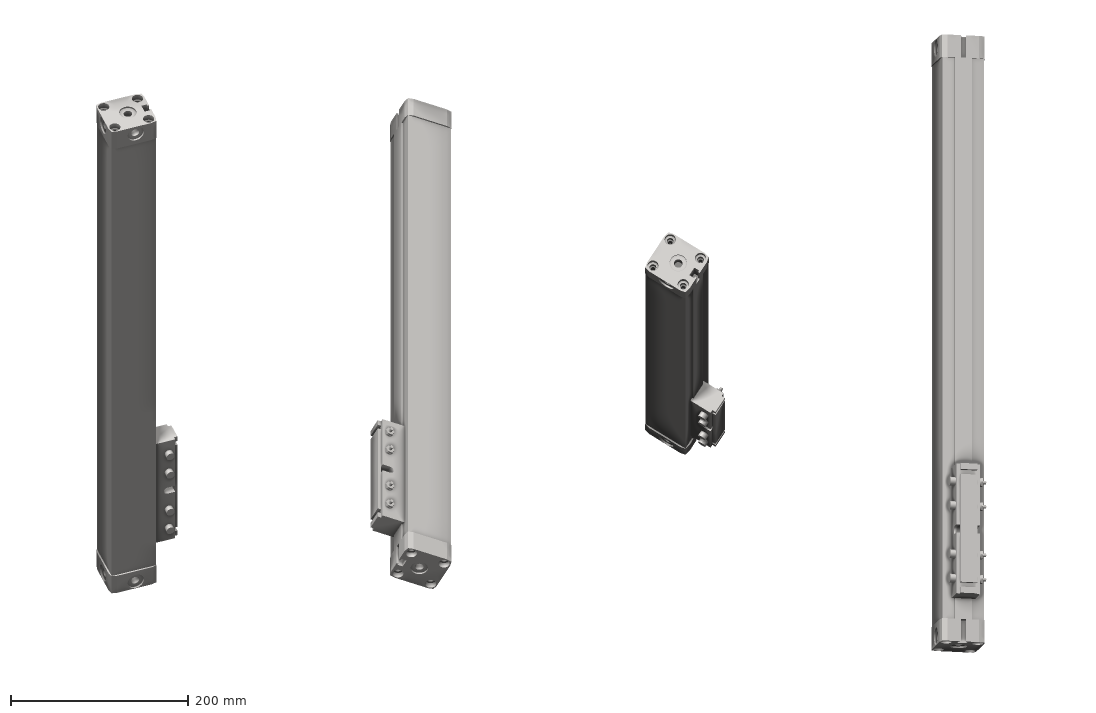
import cadquery as cq

TOTAL_LENGTH = 700.0
CAP_WIDTH = 52.0
CAP_DEPTH = 57.0
CAP_HEIGHT = 26.0
CORNER_LENGTH = 8.0
CORNER_INSET = 1.5
BARREL_INSET = 1.75
BARREL_WIDTH = CAP_WIDTH - 2 * BARREL_INSET
BARREL_FRONT = BARREL_INSET
BARREL_BACK = CAP_DEPTH - BARREL_INSET

RAIL_WIDTH = 19.5

PORT_SEAT_DIAMETER = 19.5
PORT_SEAT_DEPTH = 2.0
PORT_BORE_DIAMETER = 10.0
PORT_BORE_DEPTH = 14.0
PORT_HEIGHT = 10.5
BORE_AXIS_Y = 30.0

SCREW_INSET = 8.0
SCREW_PITCH_Y = 40.5
SCREW_HEAD_DIAMETER = 12.5
SCREW_HEAD_DEPTH = 7.0
SCREW_STEP_DIAMETER = 8.0
SCREW_STEP_DEPTH = 14.0
SCREW_HOLE_DIAMETER = 5.0

SLOT_WIDTH = 10.5
SLOT_MOUTH_WIDTH = 6.0
SLOT_DEPTH = 8.5
SLOT_LIP = 2.0

CARRIAGE_WIDTH = 27.0
CARRIAGE_LENGTH = 150.0
CARRIAGE_CENTRE_Z = 124.5
CARRIAGE_BACK = 86.0
STRIP_WIDTH = 19.5
STRIP_HEIGHT = 4.0
STRIP_GROOVE_WIDTH = 5.5
STRIP_GROOVE_OFFSET = 65.0
NOTCH_WIDTH = 9.0
NOTCH_AXIS_Y = 73.0

CLAMP_AXIS_Y = 74.0
CLAMP_PITCH = 28.0
CLAMP_STEPS = (-2, -1, 1, 2)
NUT_SIDES = 6
NUT_WIDTH_OVER_CORNERS = 10.5
WASHER_DIAMETER = 10.0
WASHER_THICKNESS = 2.0
NUT_THICKNESS = 2.0
HEAD_DIAMETER = 10.0
STUD_DIAMETER = 4.0
STUD_LENGTH = 4.0
HEAD_LENGTH = 6.0


def centred_block(width, y_min, y_max, z_min, z_max):
    """Block symmetric about X = 0."""
    block = cq.Workplane("XY").box(width, y_max - y_min, z_max - z_min, centered=(True, False, False))
    return block.translate((0, y_min, z_min))


def rod(start, direction, diameter, length):
    solid = cq.Solid.makeCylinder(diameter / 2, length, cq.Vector(*start), cq.Vector(*direction))
    return cq.Workplane(obj=solid)


def port_cutter(mouth, direction):
    seat = rod(mouth, direction, PORT_SEAT_DIAMETER, PORT_SEAT_DEPTH)
    return seat.union(rod(mouth, direction, PORT_BORE_DIAMETER, PORT_BORE_DEPTH))


def cap_outline():
    """Rectangle whose faces slope in slightly near each corner."""
    half_depth = CAP_DEPTH / 2
    side_x = CAP_WIDTH / 2
    points = []
    for x_side, y_side in ((1, 1), (-1, 1), (-1, -1), (1, -1)):
        corner = [
            (side_x, half_depth - CORNER_LENGTH),
            (side_x - CORNER_INSET, half_depth - CORNER_INSET),
            (side_x - CORNER_LENGTH, half_depth),
        ]
        if x_side != y_side:
            corner.reverse()
        points += [(x_side * x, half_depth + y_side * y) for x, y in corner]
    return points


def make_cap():
    """Upper end cap, with its outer end at Z = TOTAL_LENGTH."""
    bottom = TOTAL_LENGTH - CAP_HEIGHT
    cap = cq.Workplane("XY", origin=(0, 0, bottom)).polyline(cap_outline()).close().extrude(CAP_HEIGHT)

    lip_y = CAP_DEPTH - SLOT_LIP
    cap = cap.cut(centred_block(SLOT_WIDTH, CAP_DEPTH - SLOT_DEPTH, lip_y, bottom, TOTAL_LENGTH))
    cap = cap.cut(centred_block(SLOT_MOUTH_WIDTH, lip_y, CAP_DEPTH, bottom, TOTAL_LENGTH))

    screw_x = CAP_WIDTH / 2 - SCREW_INSET
    for x in (-screw_x, screw_x):
        for y in (SCREW_INSET, SCREW_INSET + SCREW_PITCH_Y):
            start = (x, y, TOTAL_LENGTH)
            cap = cap.cut(rod(start, (0, 0, -1), SCREW_HEAD_DIAMETER, SCREW_HEAD_DEPTH))
            cap = cap.cut(rod(start, (0, 0, -1), SCREW_STEP_DIAMETER, SCREW_STEP_DEPTH))
            cap = cap.cut(rod(start, (0, 0, -1), SCREW_HOLE_DIAMETER, CAP_HEIGHT))

    port_z = TOTAL_LENGTH - PORT_HEIGHT
    cap = cap.cut(port_cutter((0, BORE_AXIS_Y, TOTAL_LENGTH), (0, 0, -1)))
    cap = cap.cut(port_cutter((0, 0, port_z), (0, 1, 0)))
    return cap.cut(port_cutter((CAP_WIDTH / 2, BORE_AXIS_Y, port_z), (-1, 0, 0)))


def make_rail():
    return centred_block(RAIL_WIDTH, BARREL_BACK, CAP_DEPTH, CAP_HEIGHT, TOTAL_LENGTH - CAP_HEIGHT)


def make_cylinder():
    barrel = centred_block(
        BARREL_WIDTH, BARREL_FRONT, BARREL_BACK, CAP_HEIGHT, TOTAL_LENGTH - CAP_HEIGHT
    )
    upper_cap = make_cap()
    lower_cap = upper_cap.mirror("XY", (0, 0, TOTAL_LENGTH / 2))
    return barrel.union(make_rail()).union(upper_cap).union(lower_cap)


def nut(start):
    base = cq.Workplane("YZ", origin=start)
    return base.polygon(NUT_SIDES, NUT_WIDTH_OVER_CORNERS).extrude(-NUT_THICKNESS)


def make_carriage():
    z_min = CARRIAGE_CENTRE_Z - CARRIAGE_LENGTH / 2
    z_max = CARRIAGE_CENTRE_Z + CARRIAGE_LENGTH / 2
    shoulder_y = CARRIAGE_BACK - STRIP_HEIGHT
    carriage = centred_block(CARRIAGE_WIDTH, BARREL_BACK, shoulder_y, z_min, z_max)

    notch = rod(
        (-CARRIAGE_WIDTH / 2, NOTCH_AXIS_Y, CARRIAGE_CENTRE_Z), (1, 0, 0), NOTCH_WIDTH, CARRIAGE_WIDTH
    )
    half_notch = NOTCH_WIDTH / 2
    notch = notch.union(
        centred_block(
            CARRIAGE_WIDTH,
            NOTCH_AXIS_Y,
            shoulder_y,
            CARRIAGE_CENTRE_Z - half_notch,
            CARRIAGE_CENTRE_Z + half_notch,
        )
    )
    carriage = carriage.cut(notch)

    strip = centred_block(STRIP_WIDTH, shoulder_y, CARRIAGE_BACK, z_min, z_max)
    for side in (-1, 1):
        groove_z = CARRIAGE_CENTRE_Z + side * STRIP_GROOVE_OFFSET
        half_groove = STRIP_GROOVE_WIDTH / 2
        strip = strip.cut(
            centred_block(
                STRIP_WIDTH, shoulder_y, CARRIAGE_BACK, groove_z - half_groove, groove_z + half_groove
            )
        )
    carriage = carriage.union(strip)

    side_x = CARRIAGE_WIDTH / 2
    for step in CLAMP_STEPS:
        z = CARRIAGE_CENTRE_Z + step * CLAMP_PITCH
        washer_start = (-side_x, CLAMP_AXIS_Y, z)
        nut_start = (-side_x - WASHER_THICKNESS, CLAMP_AXIS_Y, z)
        stud_start = (-side_x - WASHER_THICKNESS - NUT_THICKNESS, CLAMP_AXIS_Y, z)
        head_start = (side_x, CLAMP_AXIS_Y, z)
        carriage = carriage.union(rod(washer_start, (-1, 0, 0), WASHER_DIAMETER, WASHER_THICKNESS))
        carriage = carriage.union(nut(nut_start))
        carriage = carriage.union(rod(stud_start, (-1, 0, 0), STUD_DIAMETER, STUD_LENGTH))
        carriage = carriage.union(rod(head_start, (1, 0, 0), HEAD_DIAMETER, HEAD_LENGTH))

    return carriage.cut(make_rail())


cylinder = make_cylinder()
carriage = make_carriage()
result = cq.Compound.makeCompound([cylinder.val(), carriage.val()])